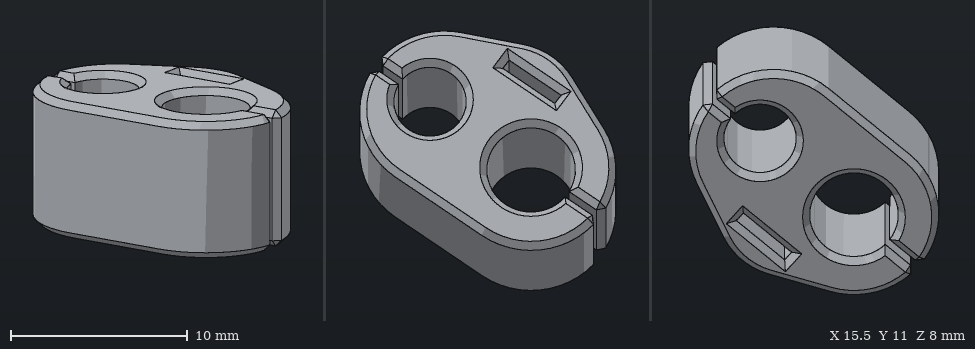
import cadquery as cq
import math

length = 15.53
height = 8.0
chamfer = 0.4
slit_width = 0.39
lobe_radius = 4.8
crown_radius = 4.2
crown_top = 6.2
small_bore_diameter = 4.08
small_bore_x = -4.0
large_bore_diameter = 5.0
window_length = 3.6
window_width = 0.6
window_y = 4.3

mouth_half_width = slit_width / 2 + chamfer
lobe_reach = math.sqrt(lobe_radius**2 - mouth_half_width**2)
lobe_offset = length / 2 - lobe_reach
large_bore_x = lobe_offset

crown_y = crown_top - crown_radius
centre_distance = math.hypot(lobe_offset, crown_y)
normal_to_centre_line = math.acos((lobe_radius - crown_radius) / centre_distance)
flank_angle = normal_to_centre_line - math.atan2(lobe_offset, crown_y)


def flank_point(centre_x, centre_y, radius):
    """Point where the right flank touches the given circle."""
    x = centre_x + radius * math.sin(flank_angle)
    y = centre_y + radius * math.cos(flank_angle)
    return x, y


def mirrored(point):
    return -point[0], point[1]


def make_body():
    lobe_tangent = flank_point(lobe_offset, 0, lobe_radius)
    crown_tangent = flank_point(0, crown_y, crown_radius)
    lobe_side = (lobe_offset + lobe_radius, 0)
    return (
        cq.Workplane("XY")
        .moveTo(-lobe_offset, -lobe_radius)
        .lineTo(lobe_offset, -lobe_radius)
        .threePointArc(lobe_side, lobe_tangent)
        .lineTo(*crown_tangent)
        .threePointArc((0, crown_top), mirrored(crown_tangent))
        .lineTo(*mirrored(lobe_tangent))
        .threePointArc(mirrored(lobe_side), (-lobe_offset, -lobe_radius))
        .close()
        .extrude(height)
    )


def make_bore(x, diameter):
    return cq.Workplane("XY").center(x, 0).circle(diameter / 2).extrude(height)


def make_slit(bore_x, side):
    """Slot from a bore centre out through the side wall (side is -1 or 1)."""
    slit_length = 2 * lobe_radius
    return (
        cq.Workplane("XY")
        .center(bore_x + side * slit_length / 2, 0)
        .rect(slit_length, slit_width)
        .extrude(height)
    )


def make_window():
    return cq.Workplane("XY").center(0, window_y).rect(window_length, window_width).extrude(height)


body = (
    make_body()
    .cut(make_bore(small_bore_x, small_bore_diameter))
    .cut(make_bore(large_bore_x, large_bore_diameter))
    .cut(make_slit(small_bore_x, -1))
    .cut(make_slit(large_bore_x, 1))
    .cut(make_window())
)

end_rims = body.faces("|Z").edges()
slit_mouth_corners = body.edges("|Z and (<X or >X)")
result = body.newObject(end_rims.vals() + slit_mouth_corners.vals()).chamfer(chamfer)